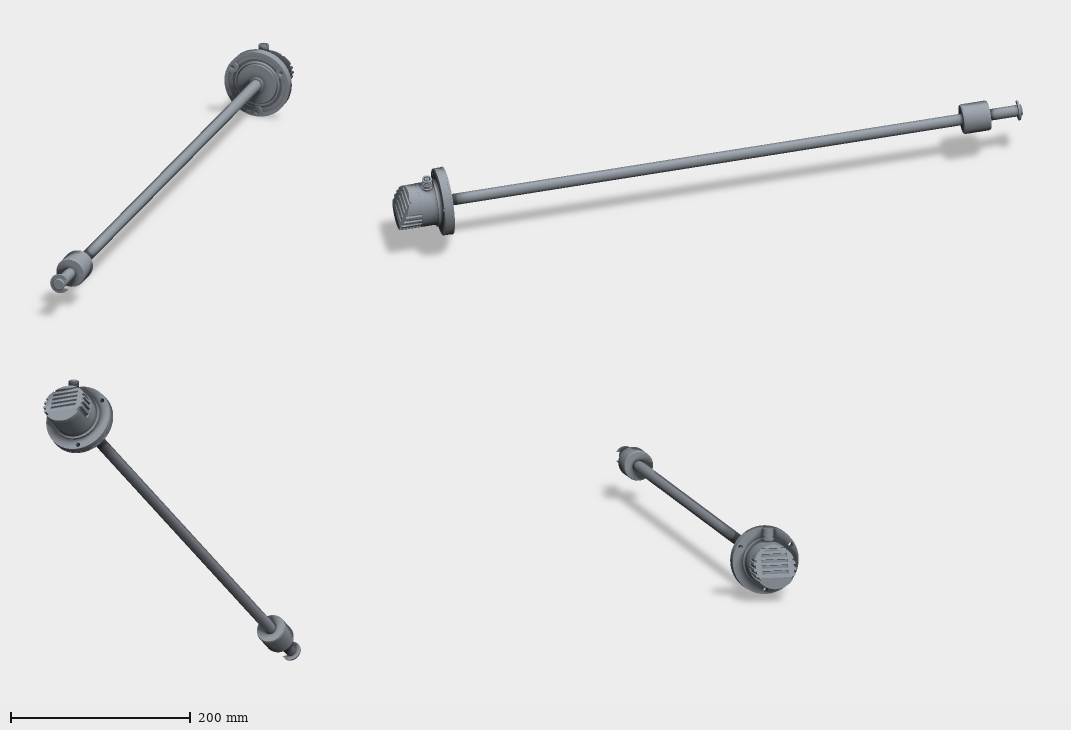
import cadquery as cq
import math


ROD_TIP_Y = -356.5
FLANGE_FRONT_Y = 298.0
FLANGE_THICKNESS = 11.0
FLANGE_BACK_Y = FLANGE_FRONT_Y + FLANGE_THICKNESS
RIM_FRONT_Y = 311.5
RIM_WIDTH = 2.0
HEAD_SEAM_Y = 332.0
HEAD_END_Y = 356.5
CONNECTOR_Y = 321.5

FLANGE_DIAMETER = 76.0
SCREW_COUNT = 3
SCREW_HOLE_DIAMETER = 5.2
SCREW_CIRCLE_RADIUS = 33.15
FIRST_SCREW_ANGLE = 30.0
GROOVE_INNER_RADIUS = 23.0
GROOVE_OUTER_RADIUS = 29.0
GROOVE_DEPTH = 4.0
SCREW_BOSS_DIAMETER = 13.0
LIP_INNER_DIAMETER = 49.0
LIP_OUTER_DIAMETER = 52.0
LEDGE_RADIUS = 34.0
LEDGE_DEPTH = 2.0
FRONT_BAND_THICKNESS = 2.0
FRONT_BAND_STEP = 0.35
COLLAR_DIAMETER = 17.0
COLLAR_HEIGHT = 3.0

NECK_DIAMETER = 52.0
RIM_DIAMETER = 54.0
HEAD_DIAMETER = 49.0
SEAM_STEP = 0.35
END_CHAMFER_LENGTH = 4.0
END_CHAMFER_DEPTH = 1.0
SLOPE_START_Z = -11.0
SLOPE_TOP_Y = 343.0
GRIP_TOP_Z = 8.5
GRIP_BOTTOM_Z = -14.0
GRIP_DEPTH = 3.0
GRIP_RIB_COUNT = 3
GRIP_RIB_PITCH = 6.5
GRIP_RIB_HEIGHT = 3.0
GRIP_TOP_RIB_Z = 4.0
FACE_SLOT_COUNT = 5
FACE_SLOT_LENGTH = 30.0
FACE_SLOT_WIDTH = 3.5
FACE_SLOT_PITCH = 6.5
FACE_SLOT_DEPTH = 2.0

CONNECTOR_TOP_Z = 38.85
CONNECTOR_DIAMETER = 11.5
CONNECTOR_BOTTOM_Z = 31.0
CONNECTOR_STEM_DIAMETER = 10.0
CONNECTOR_COLLAR_DIAMETER = 12.0
CONNECTOR_COLLAR_TOP_Z = 28.0
CONNECTOR_COLLAR_HEIGHT = 1.5
SOCKET_DIAMETER = 8.0
SOCKET_CORE_DIAMETER = 5.2
SOCKET_KEY_DIAMETER = 2.0
SOCKET_DEPTH = 4.0
THREAD_START_Z = 31.7
THREAD_PITCH = 2.0
THREAD_GAP = 1.1
THREAD_COUNT = 3
THREAD_DEPTH = 1.0

ROD_DIAMETER = 13.0
TIP_CHAMFER = 1.0
RING_FRONT_Y = -354.0
RING_THICKNESS = 2.0
RING_DIAMETER = 22.0
RING_BORE_DIAMETER = 10.0

FLOAT_FRONT_Y = -319.0
FLOAT_LENGTH = 31.0
FLOAT_DIAMETER = 33.5
FLOAT_BORE_DIAMETER = 14.0
FLOAT_CHAMFER_LENGTH = 2.0
FLOAT_CHAMFER_DEPTH = 1.0


def disc_y(diameter, start_y, length):
    """Cylinder on the main axis, growing towards +Y."""
    return cq.Workplane("XZ", origin=(0, start_y, 0)).circle(diameter / 2).extrude(-length)


def ring_y(outer_diameter, inner_diameter, start_y, length):
    """Tube on the main axis, growing towards +Y."""
    return disc_y(outer_diameter, start_y, length).cut(disc_y(inner_diameter, start_y, length))


def disc_z(diameter, bottom_z, top_z):
    """Upright cylinder on the connector axis."""
    return (
        cq.Workplane("XY", origin=(0, CONNECTOR_Y, bottom_z))
        .circle(diameter / 2)
        .extrude(top_z - bottom_z)
    )


def make_flange():
    """Flange with a stepped seal groove in its front, interrupted by the screw bosses."""
    flange = disc_y(FLANGE_DIAMETER, FLANGE_FRONT_Y, FLANGE_THICKNESS)
    edge_step = ring_y(
        FLANGE_DIAMETER,
        FLANGE_DIAMETER - 2 * FRONT_BAND_STEP,
        FLANGE_FRONT_Y + FRONT_BAND_THICKNESS,
        FLANGE_THICKNESS - FRONT_BAND_THICKNESS,
    )
    flange = flange.cut(edge_step)
    groove = ring_y(2 * GROOVE_OUTER_RADIUS, 2 * GROOVE_INNER_RADIUS, FLANGE_FRONT_Y, GROOVE_DEPTH)
    ledge = ring_y(2 * LEDGE_RADIUS, 2 * GROOVE_INNER_RADIUS, FLANGE_FRONT_Y, LEDGE_DEPTH)
    groove = groove.union(ledge)
    lip = ring_y(LIP_OUTER_DIAMETER, LIP_INNER_DIAMETER, FLANGE_FRONT_Y, GROOVE_DEPTH)
    groove = groove.cut(lip)
    for i in range(SCREW_COUNT):
        angle = math.radians(FIRST_SCREW_ANGLE + i * 360 / SCREW_COUNT)
        place = (SCREW_CIRCLE_RADIUS * math.cos(angle), 0, SCREW_CIRCLE_RADIUS * math.sin(angle))
        groove = groove.cut(disc_y(SCREW_BOSS_DIAMETER, FLANGE_FRONT_Y, GROOVE_DEPTH).translate(place))
        flange = flange.cut(disc_y(SCREW_HOLE_DIAMETER, FLANGE_FRONT_Y, FLANGE_THICKNESS).translate(place))
    return flange.cut(groove)


def make_cap_step():
    """Thin skin taken off the head behind the seam, above the lower edge of the grips."""
    length = HEAD_END_Y - HEAD_SEAM_Y
    skin = ring_y(HEAD_DIAMETER, HEAD_DIAMETER - 2 * SEAM_STEP, HEAD_SEAM_Y, length)
    upper_part = cq.Workplane("XY", origin=(0, HEAD_SEAM_Y + length / 2, GRIP_BOTTOM_Z)).box(
        HEAD_DIAMETER, length, HEAD_DIAMETER, centered=(True, True, False)
    )
    return skin.intersect(upper_part)


def make_slope_cut():
    """Wedge above the end face that leaves the head with a slanted top."""
    radius = HEAD_DIAMETER / 2
    return (
        cq.Workplane("YZ")
        .polyline([(HEAD_END_Y, SLOPE_START_Z), (SLOPE_TOP_Y, radius), (HEAD_END_Y, radius)])
        .close()
        .extrude(radius, both=True)
    )


def make_grip_recess():
    """Recess on both sides of the cap, with ribs left standing in it."""
    length = HEAD_END_Y - HEAD_SEAM_Y
    middle_y = HEAD_SEAM_Y + length / 2
    recess = ring_y(HEAD_DIAMETER, HEAD_DIAMETER - 2 * GRIP_DEPTH, HEAD_SEAM_Y, length)
    band_height = GRIP_TOP_Z - GRIP_BOTTOM_Z
    band = cq.Workplane("XY", origin=(0, middle_y, GRIP_BOTTOM_Z + band_height / 2)).box(
        HEAD_DIAMETER, length, band_height
    )
    recess = recess.intersect(band)
    for i in range(GRIP_RIB_COUNT):
        rib_z = GRIP_TOP_RIB_Z - i * GRIP_RIB_PITCH
        rib = cq.Workplane("XY", origin=(0, middle_y, rib_z)).box(HEAD_DIAMETER, length, GRIP_RIB_HEIGHT)
        recess = recess.cut(rib)
    return recess


def make_face_slots():
    """Row of level slots sunk into the slanted face."""
    rise = HEAD_DIAMETER / 2 - SLOPE_START_Z
    lean = math.degrees(math.atan2(HEAD_END_Y - SLOPE_TOP_Y, rise))
    middle = (0, (HEAD_END_Y + SLOPE_TOP_Y) / 2, SLOPE_START_Z + rise / 2)
    return (
        cq.Workplane("XY")
        .transformed(offset=middle, rotate=(lean, 0, 0))
        .transformed(rotate=(90, 0, 0))
        .rarray(7, FACE_SLOT_PITCH, 1, FACE_SLOT_COUNT)
        .rect(FACE_SLOT_LENGTH, FACE_SLOT_WIDTH)
        .extrude(FACE_SLOT_DEPTH)
    )


def make_head():
    head = disc_y(HEAD_DIAMETER, FLANGE_BACK_Y, HEAD_END_Y - FLANGE_BACK_Y)
    head = head.faces(">Y").chamfer(END_CHAMFER_LENGTH, END_CHAMFER_DEPTH)
    head = head.cut(make_cap_step()).cut(make_grip_recess())
    head = head.cut(make_slope_cut()).cut(make_face_slots())
    neck = disc_y(NECK_DIAMETER, FLANGE_BACK_Y, RIM_FRONT_Y - FLANGE_BACK_Y)
    rim = disc_y(RIM_DIAMETER, RIM_FRONT_Y, RIM_WIDTH)
    return head.union(neck).union(rim)


def make_connector():
    """Threaded plug with a ring-shaped socket, on a stem that is rooted in the head."""
    plug = disc_z(CONNECTOR_DIAMETER, CONNECTOR_BOTTOM_Z, CONNECTOR_TOP_Z)
    for i in range(THREAD_COUNT):
        gap_bottom = THREAD_START_Z + i * THREAD_PITCH
        gap_top = gap_bottom + THREAD_GAP
        ridge_gap = disc_z(CONNECTOR_DIAMETER, gap_bottom, gap_top).cut(
            disc_z(CONNECTOR_DIAMETER - 2 * THREAD_DEPTH, gap_bottom, gap_top)
        )
        plug = plug.cut(ridge_gap)
    socket = disc_z(SOCKET_DIAMETER, CONNECTOR_TOP_Z - SOCKET_DEPTH, CONNECTOR_TOP_Z).cut(
        disc_z(SOCKET_CORE_DIAMETER, CONNECTOR_TOP_Z - SOCKET_DEPTH, CONNECTOR_TOP_Z)
    )
    key_hole = disc_z(SOCKET_KEY_DIAMETER, CONNECTOR_TOP_Z - SOCKET_DEPTH, CONNECTOR_TOP_Z)
    stem = disc_z(CONNECTOR_STEM_DIAMETER, 0, CONNECTOR_BOTTOM_Z)
    collar = disc_z(
        CONNECTOR_COLLAR_DIAMETER, CONNECTOR_COLLAR_TOP_Z - CONNECTOR_COLLAR_HEIGHT, CONNECTOR_COLLAR_TOP_Z
    )
    return plug.cut(socket).cut(key_hole).union(stem).union(collar)


def make_rod():
    rod = disc_y(ROD_DIAMETER, ROD_TIP_Y, FLANGE_BACK_Y - ROD_TIP_Y).faces("<Y").chamfer(TIP_CHAMFER)
    seat = ring_y(ROD_DIAMETER, RING_BORE_DIAMETER, RING_FRONT_Y, RING_THICKNESS)
    collar = disc_y(COLLAR_DIAMETER, FLANGE_FRONT_Y - COLLAR_HEIGHT, COLLAR_HEIGHT)
    return rod.cut(seat).union(collar)


def make_sensor():
    return make_flange().union(make_head()).union(make_connector()).union(make_rod())


def make_float():
    body = disc_y(FLOAT_DIAMETER, FLOAT_FRONT_Y, FLOAT_LENGTH)
    for end in ("<Y", ">Y"):
        body = body.faces(end).chamfer(FLOAT_CHAMFER_LENGTH, FLOAT_CHAMFER_DEPTH)
    return body.cut(disc_y(FLOAT_BORE_DIAMETER, FLOAT_FRONT_Y, FLOAT_LENGTH))


def make_retaining_ring():
    """Snap ring, open towards +X so that it can be pushed onto the rod."""
    ring = ring_y(RING_DIAMETER, RING_BORE_DIAMETER, RING_FRONT_Y, RING_THICKNESS)
    mouth = cq.Workplane("XY", origin=(0, RING_FRONT_Y, 0)).box(
        RING_DIAMETER, RING_THICKNESS, RING_BORE_DIAMETER, centered=(False, False, True)
    )
    return ring.cut(mouth)


sensor = make_sensor()
float_body = make_float()
retaining_ring = make_retaining_ring()

result = cq.Compound.makeCompound([sensor.val(), float_body.val(), retaining_ring.val()])